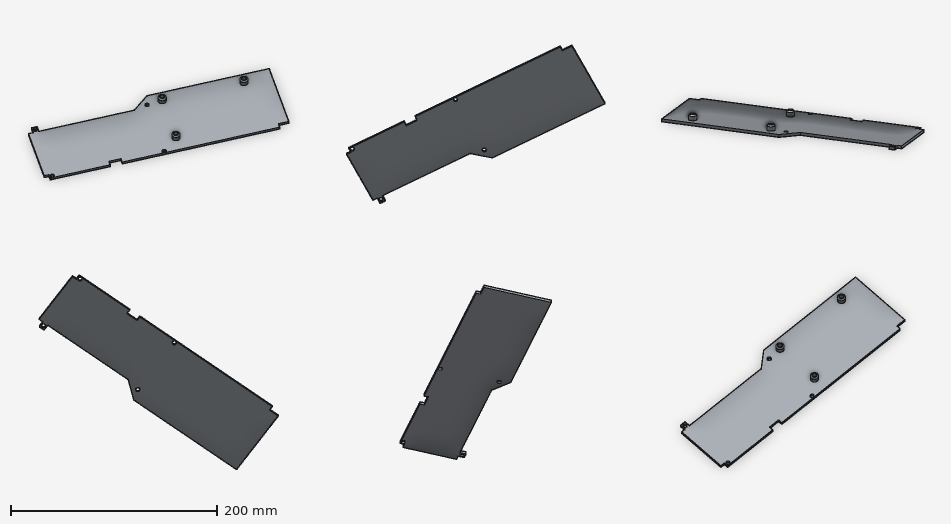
import cadquery as cq

plate_width = 73.5
plate_length = 247.0
plate_thickness = 3.0

narrow_left = 14.0
slant_front = 106.75
slant_back = 123.5

edge_cut_depth = 4.5
cut_left = plate_width - edge_cut_depth
back_cut_length = 10.5
notch_front = 65.5
notch_back = notch_front + 12.0

hole_diameter = 4.0
hole_columns = (11.0, 71.25)
hole_rows = (7.5, 120.5)
ear_length = 5.75
ear_left = 7.75
ear_front = 4.75
ear_back = ear_front + ear_length

standoff_diameter = 8.0
overall_height = 9.0
standoff_height = overall_height - plate_thickness
standoff_chamfer = 1.5
standoff_bore = 4.0
standoff_left = 10.0
standoff_right = standoff_left + 48.25
standoff_front = 136.0
standoff_back = standoff_front + 82.5
standoff_places = [
    (standoff_left, standoff_front),
    (standoff_right, standoff_front),
    (standoff_left, standoff_back),
]


def make_plate_blank():
    """Flat plate with its stepped outline and the front left ear."""
    outline = [
        (narrow_left, 0),
        (cut_left, 0),
        (cut_left, ear_front),
        (plate_width, ear_front),
        (plate_width, notch_front),
        (cut_left, notch_front),
        (cut_left, notch_back),
        (plate_width, notch_back),
        (plate_width, plate_length - back_cut_length),
        (cut_left, plate_length - back_cut_length),
        (cut_left, plate_length),
        (0, plate_length),
        (0, slant_back),
        (narrow_left, slant_front),
        (narrow_left, ear_back),
        (ear_left, ear_back),
        (ear_left, ear_front),
        (narrow_left, ear_front),
    ]
    return cq.Workplane("XY").polyline(outline).close().extrude(plate_thickness)


def cut_screw_holes(plate):
    """Through holes at every crossing of the hole rows and columns."""
    centers = [(x, y) for x in hole_columns for y in hole_rows]
    holes = (
        cq.Workplane("XY")
        .pushPoints(centers)
        .circle(hole_diameter / 2)
        .extrude(plate_thickness)
    )
    return plate.cut(holes)


def make_standoff(x, y):
    """Round post with a chamfered rim and a bore down to the plate."""
    return (
        cq.Workplane("XY", origin=(x, y, plate_thickness))
        .circle(standoff_diameter / 2)
        .extrude(standoff_height)
        .faces(">Z")
        .chamfer(standoff_chamfer)
        .faces(">Z")
        .workplane()
        .hole(standoff_bore, standoff_height)
    )


board = cut_screw_holes(make_plate_blank())
for standoff_x, standoff_y in standoff_places:
    board = board.union(make_standoff(standoff_x, standoff_y))

result = cq.Compound.makeCompound([board.val()])